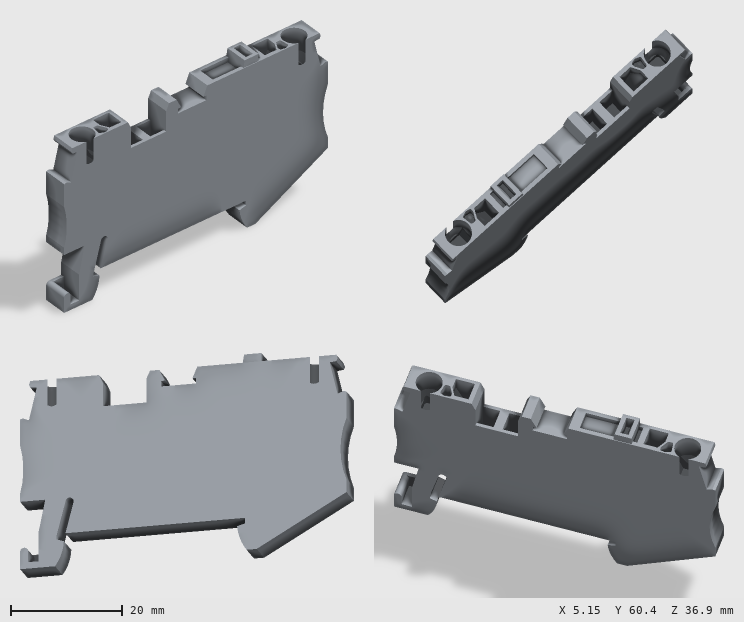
import cadquery as cq


length = 60.4
half_length = length / 2
thickness = 5.15
top_z = 35.3
total_height = 36.85

shoulder_z = 28.2
shoulder_peak = (29.65, 28.3)
groove_foot = (28.55, 27.9)
groove_head = (27.1, 33.95)
lip_tip = (28.3, 34.05)
lip_nose = (28.55, 34.55)
lip_top_y = 28.3
hollow_top_z = 23.2

shallow_floor_z = 32.15
shallow_notch_back_y = 2.35
shallow_notch_front_y = -4.1
undercut_z = 33.15
deep_floor_z = 29.35
deep_notch_back_y = -6.8
deep_notch_front_y = -14.85

rail_seat_z = 6.05
overhang_z = 12.7

foot_top_z = 4.0
foot_stem_y = -26.75
foot_lip_radius = 0.7
foot_pocket_wall = 0.7
foot_pocket_depth = 2.8

recess_width = 3.55
recess_back_y = 15.3
recess_front_y = 4.45
recess_depth = 1.0
marker_width = 4.9
marker_back_y = 14.45
marker_front_y = 11.25
marker_base_front_y = 10.8
marker_slot_back_y = 13.65
marker_slot_step_y = 12.7
marker_slot_front_y = 12.1
marker_slot_depth = 2.9

shaft_width = 3.85
shaft_depth = 9.05
shaft_spans = [(-9.95, deep_notch_back_y), (deep_notch_front_y, -11.65)]

wire_x = 0.3
wire_y = 24.3
funnel_mouth_radius = 2.4
funnel_throat_radius = 1.5
bore_depth = 4.85
funnel_depth = 1.7
throat_left_x = -1.25
throat_right_x = 1.5
throat_back_y = 25.55
throat_front_y = 22.15
throat_floor_front_y = 22.95
throat_depth = 3.25
throat_ramp_rise = 1.8
throat_corner_radius = 0.55

tool_left_x = -1.95
tool_right_x = 1.75
tool_back_y = 20.0
tool_front_y = 16.4
tool_corner = (1.7, 0.9)
tool_wall_depth = 2.4
tool_ramp_drop = 6.65

test_hole_corners = [(-0.1, 21.45), (1.95, 21.75), (2.35, 20.65), (2.1, 19.6), (1.45, 19.6), (-0.1, 20.5)]
test_hole_corner_radius = 0.3
test_hole_depth = 3.0


def box(x_span, y_span, z_span):
    """Axis-aligned block between pairs of coordinates."""
    sizes = [high - low for low, high in (x_span, y_span, z_span)]
    return cq.Workplane("XY").box(*sizes, centered=False).translate((x_span[0], y_span[0], z_span[0]))


def centred_span(width):
    return (-width / 2, width / 2)


def prism_along_x(points, x_span):
    """Extrude a (Y, Z) outline between two X positions."""
    plane = cq.Workplane("YZ", origin=(x_span[0], 0, 0))
    return plane.polyline(points).close().extrude(x_span[1] - x_span[0])


def end_groove(side):
    """Points from the top edge down to the shoulder at the +Y (1) or -Y (-1) end."""
    points = [
        (lip_top_y, top_z),
        lip_nose,
        lip_tip,
        groove_head,
        groove_foot,
        shoulder_peak,
        (half_length, shoulder_z),
    ]
    return [(side * y, z) for y, z in points]


def housing():
    outline = cq.Workplane("YZ", origin=(-thickness / 2, 0, 0)).polyline(end_groove(1))
    outline = (
        outline.lineTo(half_length, hollow_top_z)
        .threePointArc((29.1, 17.35), (half_length, 11.7))
        .lineTo(half_length, 9.25)
        .lineTo(13.6, 0)
        .lineTo(11.7, 0)
        .threePointArc((10.65, 1.95), (9.95, 4.6))
        .lineTo(11.5, 5.0)
        .lineTo(11.5, rail_seat_z)
    )
    outline = (
        outline.lineTo(-21.8, rail_seat_z)
        .lineTo(-20.3, 11.85)
        .threePointArc((-20.9, overhang_z), (-21.75, 12.2))
        .lineTo(-23.45, 5.8)
        .lineTo(-23.45, 5.0)
        .lineTo(-22.1, 4.6)
        .threePointArc((-22.6, 2.1), (-23.75, 0))
        .lineTo(-half_length, 0)
        .lineTo(-half_length, foot_top_z - foot_lip_radius)
        .radiusArc((foot_lip_radius - half_length, foot_top_z), foot_lip_radius)
        .lineTo(foot_stem_y, foot_top_z)
        .lineTo(foot_stem_y, 6.8)
        .lineTo(-25.55, overhang_z)
    )
    outline = (
        outline.lineTo(-half_length, overhang_z)
        .lineTo(-half_length, 14.25)
        .threePointArc((-29.6, 18.85), (-half_length, hollow_top_z))
    )
    for point in reversed(end_groove(-1)):
        outline = outline.lineTo(*point)
    top_edge = [
        (-15.6, top_z),
        (deep_notch_front_y, 33.7),
        (deep_notch_front_y, deep_floor_z),
        (deep_notch_back_y, deep_floor_z),
        (deep_notch_back_y, 33.8),
        (-6.15, top_z),
        (-4.45, top_z),
        (-3.4, undercut_z),
        (shallow_notch_front_y, undercut_z),
        (shallow_notch_front_y, shallow_floor_z),
        (shallow_notch_back_y, shallow_floor_z),
        (shallow_notch_back_y, undercut_z),
        (1.7, undercut_z),
        (2.6, top_z),
    ]
    for point in top_edge:
        outline = outline.lineTo(*point)
    return outline.close().extrude(thickness)


def marker():
    """Raised block rooted in the recess, with a ramped slot in its top."""
    recess_floor_z = top_z - recess_depth
    block_outline = [
        (marker_back_y, total_height),
        (marker_back_y, recess_floor_z),
        (marker_base_front_y, recess_floor_z),
        (marker_front_y, total_height),
    ]
    block = prism_along_x(block_outline, centred_span(marker_width))
    slot_floor_z = total_height - marker_slot_depth
    slot = prism_along_x(
        [
            (marker_slot_back_y, total_height),
            (marker_slot_step_y, slot_floor_z),
            (marker_slot_front_y, slot_floor_z),
            (marker_slot_front_y, total_height),
        ],
        centred_span(recess_width),
    )
    return block.cut(slot)


def wire_entry():
    """Round bore and conical funnel leading into a square throat with a sloped inner wall."""
    funnel_top_z = top_z - bore_depth
    bore = cq.Workplane("XY", origin=(wire_x, wire_y, top_z)).circle(funnel_mouth_radius).extrude(-bore_depth)
    funnel = (
        cq.Workplane("XY", origin=(wire_x, wire_y, funnel_top_z))
        .circle(funnel_mouth_radius)
        .workplane(offset=-funnel_depth)
        .circle(funnel_throat_radius)
        .loft()
    )
    floor_z = funnel_top_z - throat_depth
    throat = prism_along_x(
        [
            (throat_back_y, funnel_top_z),
            (throat_back_y, floor_z),
            (throat_floor_front_y, floor_z),
            (throat_front_y, floor_z + throat_ramp_rise),
            (throat_front_y, funnel_top_z),
        ],
        (throat_left_x, throat_right_x),
    )
    throat = throat.edges("|Z and >Y").fillet(throat_corner_radius)
    return bore.union(funnel).union(throat)


def tool_opening():
    """Release-tool shaft: one corner cut off, steep ramp for a floor."""
    left, right = tool_left_x, tool_right_x
    corner_x, corner_y = tool_corner
    ramp_top_z = top_z - tool_wall_depth
    shaft = (
        cq.Workplane("XY", origin=(0, 0, top_z))
        .polyline(
            [
                (left, tool_front_y),
                (right, tool_front_y),
                (right, tool_back_y - corner_y),
                (right - corner_x, tool_back_y),
                (left, tool_back_y),
            ]
        )
        .close()
        .extrude(-tool_wall_depth - tool_ramp_drop)
    )
    ramp_space = prism_along_x(
        [
            (tool_front_y, top_z),
            (tool_back_y, top_z),
            (tool_back_y, ramp_top_z),
            (tool_front_y, ramp_top_z - tool_ramp_drop),
        ],
        (left, right),
    )
    return shaft.intersect(ramp_space)


def test_hole():
    return (
        cq.Workplane("XY", origin=(0, 0, top_z))
        .polyline(test_hole_corners)
        .close()
        .extrude(-test_hole_depth)
        .edges("|Z")
        .fillet(test_hole_corner_radius)
    )


def foot_pocket():
    """Hollow behind the foot lip; its curved edge rounds the back of the lip."""
    lip_crest_y = foot_lip_radius - half_length
    lip_back_y = lip_crest_y + foot_lip_radius
    floor_z = foot_top_z - foot_pocket_depth
    return (
        cq.Workplane("YZ", origin=(foot_pocket_wall - thickness / 2, 0, 0))
        .moveTo(foot_stem_y, foot_top_z)
        .lineTo(lip_crest_y, foot_top_z)
        .radiusArc((lip_back_y, foot_top_z - foot_lip_radius), foot_lip_radius)
        .lineTo(lip_back_y, floor_z)
        .lineTo(foot_stem_y, floor_z)
        .close()
        .extrude(thickness - foot_pocket_wall)
    )


result = housing()

for opening in (wire_entry(), tool_opening(), test_hole()):
    result = result.cut(opening).cut(opening.mirror("XZ"))

shaft_z_span = (deep_floor_z - shaft_depth, deep_floor_z)
for shaft_span in shaft_spans:
    result = result.cut(box(centred_span(shaft_width), shaft_span, shaft_z_span))

recess = box(centred_span(recess_width), (recess_front_y, recess_back_y), (top_z - recess_depth, top_z))
result = result.cut(recess).union(marker())

result = result.cut(foot_pocket())